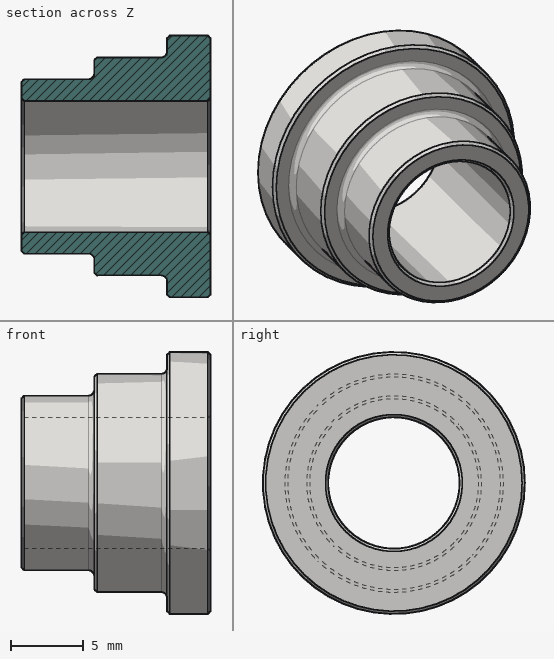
import cadquery as cq

nose = (12.0, 5.0)
shoulder = (15.0, 5.0)
flange = (18.0, 3.0)
steps = [nose, shoulder, flange]

bore_diameter = 9.0
edge_chamfer = 0.2
root_fillet = 0.4

total_length = sum(length for _, length in steps)


def turned_step(start, diameter, length):
    """Solid cylinder along +X whose near face lies at x = start."""
    return cq.Workplane("YZ").workplane(offset=start).circle(diameter / 2).extrude(length)


def edges_at(body, x, diameter):
    """Circular edges of one diameter lying in the plane at x."""
    half_side = diameter / 2 + edge_chamfer
    tolerance = edge_chamfer / 2
    box = cq.selectors.BoxSelector(
        (x - tolerance, -half_side, -half_side),
        (x + tolerance, half_side, half_side),
        boundingbox=True,
    )
    radius_filter = cq.selectors.RadiusNthSelector(-1)
    return body.edges(box).edges(radius_filter)


def make_blank():
    body = cq.Workplane("YZ")
    start = 0.0
    for diameter, length in steps:
        body = body.union(turned_step(start, diameter, length))
        start += length
    return body


def finish_outside(body):
    """Break the outer rims and round the inside corner at the root of each step."""
    start = 0.0
    for diameter, length in steps:
        end = start + length
        body = edges_at(body, start, diameter).chamfer(edge_chamfer)
        if end < total_length:
            body = edges_at(body, end, diameter).fillet(root_fillet)
        else:
            body = edges_at(body, end, diameter).chamfer(edge_chamfer)
        start = end
    return body


def cut_bore(body):
    """Through bore with both mouths chamfered."""
    body = body.cut(turned_step(0.0, bore_diameter, total_length))
    for x in (0.0, total_length):
        body = edges_at(body, x, bore_diameter).chamfer(edge_chamfer)
    return body


result = cut_bore(finish_outside(make_blank()))